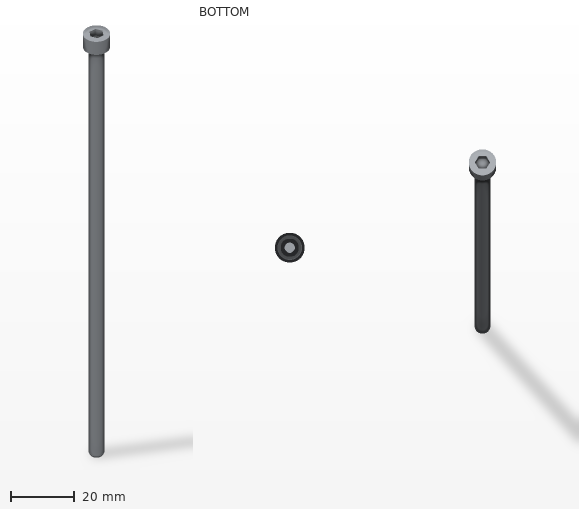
import cadquery as cq
import math

total_length = 165.0
head_diameter = 8.5
head_height = 5.1
shank_diameter = 5.0

thread_length = 22.0
tip_diameter = 4.0
tip_height = 0.8

socket_across_flats = 4.1
socket_depth = 2.5

shank_length = total_length - head_height
plain_length = shank_length - thread_length


def cylinder(bottom, diameter, height):
    """Cylinder on the screw axis, rising from the given level."""
    return cq.Workplane("XY").workplane(offset=bottom).circle(diameter / 2).extrude(height)


def threaded_end():
    """Cylinder whose lower edge tapers to the tip."""
    taper_width = (shank_diameter - tip_diameter) / 2
    end = cylinder(0, shank_diameter, thread_length)
    return end.faces("<Z").chamfer(tip_height, taper_width)


def hex_socket():
    """Blind hexagonal hole with two of its corners on the X axis."""
    across_corners = socket_across_flats / math.cos(math.radians(30))
    top = cq.Workplane("XY").workplane(offset=total_length)
    return top.polygon(6, across_corners).extrude(-socket_depth)


plain_shank = cylinder(thread_length, shank_diameter, plain_length)
head = cylinder(shank_length, head_diameter, head_height)

screw = threaded_end().union(plain_shank, clean=False).union(head, clean=False)
result = screw.cut(hex_socket(), clean=False)